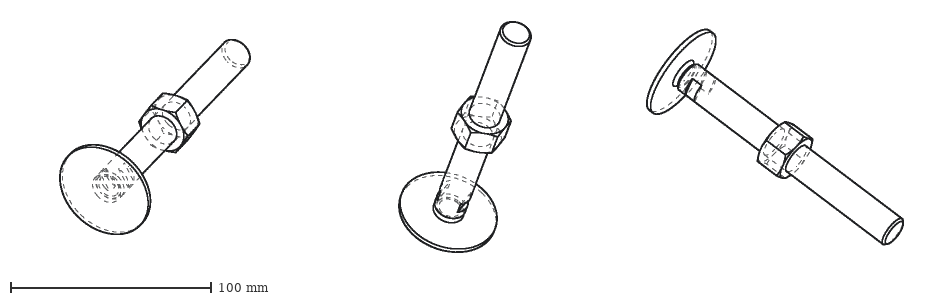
import cadquery as cq
import math

total_length = 142.0

plate_diameter = 50.0
plate_thickness = 2.5
cone_base_radius = 8.0

spindle_diameter = 16.0
spindle_radius = spindle_diameter / 2
spindle_start = 4.8
spindle_chamfer = 1.1
flat_spacing = 11.9
flat_start = 10.8
flat_length = 6.0
flat_angle = 30.0

cone_top_radius = cone_base_radius - (spindle_start - plate_thickness)

nut_across_flats = 24.0
nut_corner_diameter = nut_across_flats / math.cos(math.radians(30))
nut_start = 62.5
nut_thickness = 14.6
nut_chamfer_height = 1.0
nut_end_face_radius = 12.0


def xz_plane(y):
    """Workplane at height y, with local X along X, local Y along Z and extrusion towards +Y."""
    return cq.Workplane(cq.Plane(origin=(0, y, 0), xDir=(1, 0, 0), normal=(0, -1, 0)))


def extruded_along_y(sketch, length):
    return sketch.extrude(-length)


def revolved_about_y(profile):
    """Turn a closed profile of (radius, y) points about the Y axis."""
    return cq.Workplane("XY").polyline(profile).close().revolve(360, (0, 0, 0), (0, 1, 0))


def make_foot():
    plate_radius = plate_diameter / 2
    return revolved_about_y([
        (0, 0),
        (plate_radius, 0),
        (plate_radius, plate_thickness),
        (cone_base_radius, plate_thickness),
        (cone_top_radius, spindle_start),
        (0, spindle_start),
    ])


def make_spindle():
    rod = extruded_along_y(xz_plane(spindle_start).circle(spindle_radius), total_length - spindle_start)
    rod = rod.faces("<Y or >Y").chamfer(spindle_chamfer)

    flat_zone = extruded_along_y(xz_plane(flat_start).circle(spindle_diameter), flat_length)
    core = extruded_along_y(xz_plane(flat_start).rect(flat_spacing, 2 * spindle_diameter), flat_length)
    core = core.rotate((0, 0, 0), (0, 1, 0), -flat_angle)
    return rod.cut(flat_zone.cut(core))


def make_nut():
    nut_end = nut_start + nut_thickness
    corner_radius = nut_corner_diameter / 2
    hexagon = extruded_along_y(xz_plane(nut_start).polygon(6, nut_corner_diameter), nut_thickness)

    bevel_envelope = revolved_about_y([
        (0, nut_start),
        (nut_end_face_radius, nut_start),
        (corner_radius, nut_start + nut_chamfer_height),
        (corner_radius, nut_end - nut_chamfer_height),
        (nut_end_face_radius, nut_end),
        (0, nut_end),
    ])
    bore = extruded_along_y(xz_plane(nut_start).circle(spindle_radius), nut_thickness)
    return hexagon.intersect(bevel_envelope).cut(bore)


foot = make_foot()
spindle = make_spindle()
nut = make_nut()

result = cq.Compound.makeCompound([foot.val(), spindle.val(), nut.val()])